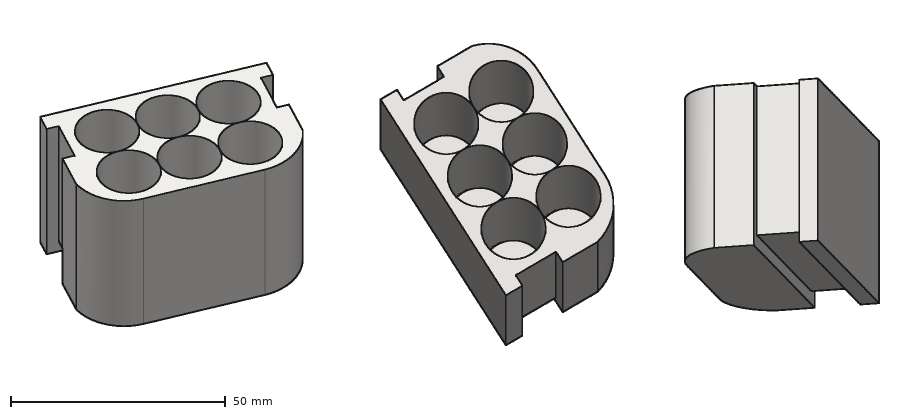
import cadquery as cq
import math

length_x = 35.0
width_y = 56.0
height_z = 39.2

pocket_pitch = 15.0
pocket_web = 0.01
pocket_diameter = pocket_pitch - pocket_web
pocket_columns = 2
pocket_rows = 3
wall = (length_x - pocket_columns * pocket_pitch) / 2
column_x = [wall + (column + 0.5) * pocket_pitch for column in range(pocket_columns)]
last_row_y = (pocket_rows - 1) / 2 * pocket_pitch

channel_width = 11.0
channel_end_depth = (width_y - pocket_rows * pocket_pitch) / 2 - wall
channel_base_depth = 3.2
pocket_floor = channel_base_depth + wall

corner_span_x = length_x - column_x[-1]
corner_span_y = width_y / 2 - last_row_y
corner_radius = (corner_span_x**2 + corner_span_y**2) / (2 * corner_span_x)


def make_body():
    """Extrude the plan outline with its two rounded +X corners."""
    half_width = width_y / 2
    half_angle = math.asin(corner_span_y / corner_radius) / 2
    arc_mid_x = length_x - corner_radius * (1 - math.cos(half_angle))
    arc_mid_y = last_row_y + corner_radius * math.sin(half_angle)
    return (
        cq.Workplane("XY")
        .moveTo(0, -half_width)
        .lineTo(column_x[-1], -half_width)
        .threePointArc((arc_mid_x, -arc_mid_y), (length_x, -last_row_y))
        .lineTo(length_x, last_row_y)
        .threePointArc((arc_mid_x, arc_mid_y), (column_x[-1], half_width))
        .lineTo(0, half_width)
        .close()
        .extrude(height_z)
    )


def cut_strap_channel(body):
    """Keep only the core inside the channel over the channel's width."""
    band = (
        cq.Workplane("XY")
        .center(column_x[0], 0)
        .rect(channel_width, width_y)
        .extrude(height_z)
    )
    core = (
        cq.Workplane("XY")
        .workplane(offset=channel_base_depth)
        .center(column_x[0], 0)
        .rect(channel_width, width_y - 2 * channel_end_depth)
        .extrude(height_z - channel_base_depth)
    )
    return body.cut(band.cut(core))


def cut_pockets(body):
    """Sink the grid of blind pockets from the top face."""
    pockets = (
        cq.Workplane("XY")
        .workplane(offset=pocket_floor)
        .center(length_x / 2, 0)
        .rarray(pocket_pitch, pocket_pitch, pocket_columns, pocket_rows)
        .circle(pocket_diameter / 2)
        .extrude(height_z - pocket_floor)
    )
    return body.cut(pockets)


result = cut_pockets(cut_strap_channel(make_body()))